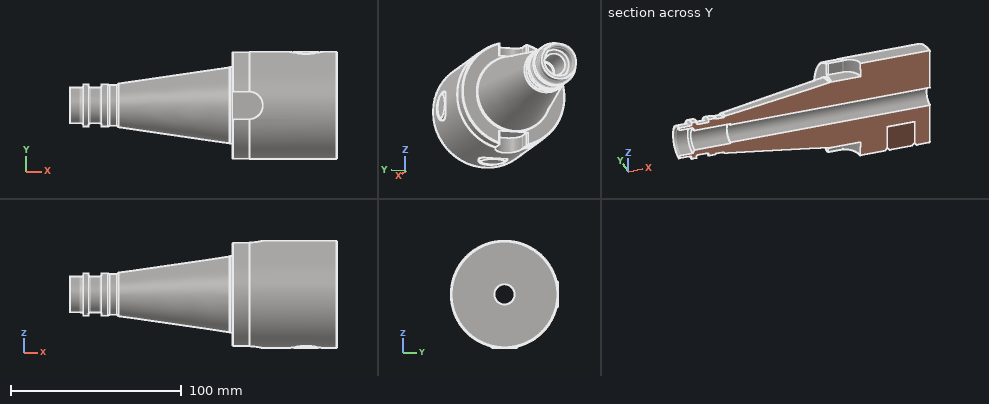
import cadquery as cq
import math

shank_end = -93.4
pilot_end = -87.5
pilot_shoulder = -86.9
collar_start = -85.6
collar_end = -82.4
ring_start = -74.9
ring_end = -71.2
ring_chamfer_end = -70.2
relief_end = -65.9
taper_start = -64.8
neck_start = 0.4
face_gap = 1.6

taper_ratio = 7 / 24
gauge_radius = 22.3
taper_start_radius = gauge_radius + taper_start * taper_ratio / 2
pilot_radius = 10.5
groove_radius = 10.6
root_fillet = 0.9
collar_radius = 12.5
relief_radius = 12.0
neck_radius = 22.55

head_end = 63.0
head_radius = 31.5
flange_length = 10.4
flange_radius = 31.3
flange_chamfer = 0.5
flange_step_length = 0.4
head_end_chamfer = 0.6

pilot_bore_radius = 8.5
pilot_bore_depth = 8.5
bore_mouth_fillet = 1.0
cone_depth = 1.2
thread_radius = 6.5
thread_depth = 32.0
through_radius = 5.85

slot_width = 16.1
slot_length = 17.9
slot_floor = 22.5
slot_mouth_chamfer = 1.0
slot_mouth_depth = 1.0

screw_offset = 18.2
screw_radius = 8.5
screw_length = 16.0
screw_chamfer = 1.5
countersink_radius = 9.8

flange_face = face_gap
flange_end = flange_face + flange_length
pilot_bore_end = shank_end + pilot_bore_depth
thread_end = shank_end + thread_depth
screw_station = head_end - screw_offset


def revolve_about_x(outline):
    """Close a wire drawn as (x, radius) and turn it about the X axis."""
    return outline.close().revolve(360, (0, 0, 0), (1, 0, 0))


def arc_middle(center, radius, x_side, radial_side):
    """Middle of a quarter arc, on the given sides (+1 or -1) of its center."""
    reach = radius * math.sqrt(0.5)
    return (center[0] + x_side * reach, center[1] + radial_side * reach)


def rise_to_shoulder(outline, shoulder_x):
    """Run along the groove floor and round up into the face of a shoulder."""
    center = (shoulder_x - root_fillet, groove_radius + root_fillet)
    return (
        outline.lineTo(center[0], groove_radius)
        .threePointArc(arc_middle(center, root_fillet, 1, -1), (shoulder_x, center[1]))
        .lineTo(shoulder_x, collar_radius)
    )


def drop_from_shoulder(outline, shoulder_x):
    """Run down the face of a shoulder and round out onto the groove floor."""
    center = (shoulder_x + root_fillet, groove_radius + root_fillet)
    return (
        outline.lineTo(shoulder_x, collar_radius)
        .lineTo(shoulder_x, center[1])
        .threePointArc(arc_middle(center, root_fillet, -1, -1), (center[0], groove_radius))
    )


def make_blank():
    """Solid outside shape of the holder: pilot, collar, ring, taper, neck and head."""
    outline = (
        cq.Workplane("XY")
        .moveTo(shank_end, 0)
        .lineTo(shank_end, pilot_radius)
        .lineTo(pilot_end, pilot_radius)
        .lineTo(pilot_shoulder, groove_radius)
    )
    outline = rise_to_shoulder(outline, collar_start)
    outline = drop_from_shoulder(outline, collar_end)
    outline = rise_to_shoulder(outline, ring_start)
    outline = (
        outline.lineTo(ring_end, collar_radius)
        .lineTo(ring_chamfer_end, relief_radius)
        .lineTo(relief_end, relief_radius)
        .lineTo(taper_start, taper_start_radius)
        .lineTo(0, gauge_radius)
        .lineTo(neck_start, neck_radius)
        .lineTo(flange_face, neck_radius)
        .lineTo(flange_face, flange_radius - flange_chamfer)
        .lineTo(flange_face + flange_chamfer, flange_radius)
        .lineTo(flange_end - flange_step_length, flange_radius)
        .lineTo(flange_end, head_radius)
        .lineTo(head_end - head_end_chamfer, head_radius)
        .lineTo(head_end, head_radius - head_end_chamfer)
        .lineTo(head_end, 0)
    )
    return revolve_about_x(outline)


def make_bore():
    """Rounded mouth, pilot bore, cone, thread bore and through bore."""
    mouth_center = (shank_end + bore_mouth_fillet, pilot_bore_radius + bore_mouth_fillet)
    mouth_middle = arc_middle(mouth_center, bore_mouth_fillet, -1, -1)
    outline = (
        cq.Workplane("XY")
        .moveTo(shank_end, 0)
        .lineTo(shank_end, mouth_center[1])
        .threePointArc(mouth_middle, (mouth_center[0], pilot_bore_radius))
        .lineTo(pilot_bore_end, pilot_bore_radius)
        .lineTo(pilot_bore_end + cone_depth, thread_radius)
        .lineTo(thread_end, thread_radius)
        .lineTo(thread_end, through_radius)
        .lineTo(head_end, through_radius)
        .lineTo(head_end, 0)
    )
    return revolve_about_x(outline)


def make_slot():
    """Round-ended slot on +Z, open at the flange face, with a chamfered mouth."""
    half_width = slot_width / 2
    arc_start = flange_face + slot_length - half_width
    mouth_half = half_width + slot_mouth_chamfer
    return (
        cq.Workplane("XY", origin=(0, 0, slot_floor))
        .moveTo(flange_face, mouth_half)
        .lineTo(flange_face + slot_mouth_depth, half_width)
        .lineTo(arc_start, half_width)
        .threePointArc((arc_start + half_width, 0), (arc_start, -half_width))
        .lineTo(flange_face + slot_mouth_depth, -half_width)
        .lineTo(flange_face, -mouth_half)
        .close()
        .extrude(head_radius)
    )


def place_on_head(shape, angle):
    """Move a shape built on the Z axis to the screw station and turn it about X."""
    return shape.translate((screw_station, 0, 0)).rotate((0, 0, 0), (1, 0, 0), angle)


def make_screw():
    """Set screw along Z whose chamfered outer end is level with the head's surface."""
    return (
        cq.Workplane("XY", origin=(0, 0, head_radius - screw_length))
        .circle(screw_radius)
        .extrude(screw_length)
        .faces(">Z")
        .chamfer(screw_chamfer)
    )


def make_screw_hole():
    """Hole that fits the screw, countersunk at the head's surface."""
    countersink_depth = countersink_radius - screw_radius
    hole = (
        cq.Workplane("XY", origin=(0, 0, head_radius - screw_length))
        .circle(screw_radius)
        .extrude(2 * screw_length)
    )
    countersink = (
        cq.Workplane("XY", origin=(0, 0, head_radius))
        .circle(countersink_radius)
        .workplane(offset=-countersink_depth)
        .circle(screw_radius)
        .loft(combine=True)
    )
    return hole.union(countersink)


screw_angles = [-90, 180]

holder = make_blank().cut(make_bore())
for slot_angle in (0, 180):
    holder = holder.cut(make_slot().rotate((0, 0, 0), (1, 0, 0), slot_angle))
for screw_angle in screw_angles:
    holder = holder.cut(place_on_head(make_screw_hole(), screw_angle))

screws = [place_on_head(make_screw(), screw_angle) for screw_angle in screw_angles]

result = cq.Compound.makeCompound([holder.val(), *[screw.val() for screw in screws]])